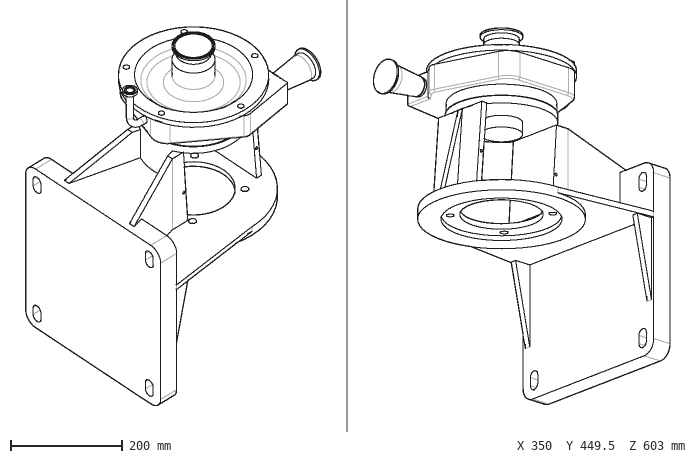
import cadquery as cq
import math


plate_width = 350.0
plate_height = 369.5
plate_thickness = 40.0
plate_back = -250.0
plate_front = plate_back + plate_thickness
plate_corner_radius = 26.0
slot_width = 20.0
slot_height = 35.5
slot_edge_distance_x = 29.5
slot_edge_distance_z = 35.0

table_top = 270.0
table_thickness = 11.0
table_disc_thickness = 20.0
table_radius = 151.0
table_bore_radius = 75.0
table_recess_radius = 108.5
table_hole_count = 4
table_hole_circle_radius = 92.0
table_hole_diameter = 14.0
brace_top_y = -176.0
brace_bottom_z = 102.5
brace_face_x = 169.0

sheet = 12.0
lantern_top = 435.5
lantern_half_width = 58.0
lantern_radius = 101.5
front_inner_y_bottom = -70.0
front_inner_y_top = -81.0
rear_inner_y_bottom = 101.5
rear_inner_y_top = 88.0
rear_rib_end_y = 143.5
side_rib_bend_y = -108.5
side_rib_end_x = 90.5
side_rib_end_y = -235.0
side_rib_slope = (side_rib_end_x - lantern_half_width) / (side_rib_bend_y - side_rib_end_y)
side_rib_foot_y = -90.5
side_rib_foot_x = side_rib_end_x - sheet - side_rib_slope * (side_rib_foot_y - side_rib_end_y)
pin_hole_diameter = 5.0
pin_hole_depth = 12.0
pin_hole_z = 340.0
pin_hole_edge_distance = 5.5

collar_top = 450.5
neck_ring_radius = 99.5
casing_bottom = 472.0
cover_bottom = 524.0
cover_top = 535.0
cover_radius = 135.0
shaft_end_radius = 38.0
shaft_end_z = 413.0

corner_count = 5
corner_step = 360 / corner_count
corner_radius = 33.0
corner_center_radius = 100.0
casing_edge_fillet = 4.0

outlet_face_x = 124.0
outlet_face_start_x = 69.5
outlet_face_y = 115.0
outlet_corner_radius = 18.0

cover_hole_circle_radius = 122.5
cover_hole_diameter = 11.5
dish_rim_radius = 106.0
dish_wall_foot_radius = 94.5
dish_floor_radius = 84.0
dish_depth = 18.0
dish_wall_foot_height = 6.0
inlet_fillet_radius = 15.5

inlet_radius = 38.5
inlet_shoulder_z = 570.5
inlet_neck_z = 585.5
inlet_neck_radius = 32.0
inlet_top = 603.0
ferrule_rim = 3.5
ferrule_taper = 3.5
seal_groove_depth = 1.0
inlet_groove_inner_radius = 34.0
inlet_groove_outer_radius = 36.0

outlet_x = 90.5
outlet_z = 499.0
outlet_end_y = 199.5
outlet_ferrule_radius = 32.0
outlet_radius = 26.0
outlet_root_radius = 18.5
outlet_groove_radius = 17.5
outlet_groove_width = 5.5
outlet_cone_start_y = 182.0

drain_radius = 6.5
drain_z = 500.5
drain_elbow_start_y = -131.5
drain_bend_radius = 27.0
drain_top = 590.5
drain_ferrule_radius = 13.0
drain_ferrule_rim = 5.5
drain_ferrule_taper = 2.0
drain_groove_inner_radius = 7.0
drain_groove_outer_radius = 9.5


def polar(radius, angle):
    """Point in the XY plane at a radius and an angle in degrees."""
    return radius * math.cos(math.radians(angle)), radius * math.sin(math.radians(angle))


def disc(radius, bottom, top):
    return cq.Workplane("XY").workplane(offset=bottom).circle(radius).extrude(top - bottom)


def slab_yz(points, x_min, x_max):
    """Prism along X over an outline of (y, z) points."""
    return cq.Workplane("YZ").workplane(offset=x_min).polyline(points).close().extrude(x_max - x_min)


def make_mounting_plate():
    plate = (
        cq.Workplane("XY")
        .box(plate_width, plate_thickness, plate_height, centered=(True, False, False))
        .translate((0, plate_back, 0))
        .edges("|Y")
        .fillet(plate_corner_radius)
    )
    slot_x = plate_width / 2 - slot_edge_distance_x
    slot_z = plate_height / 2 - slot_edge_distance_z
    slots = (
        cq.Workplane("XZ", origin=(0, plate_front, plate_height / 2))
        .rect(2 * slot_x, 2 * slot_z, forConstruction=True)
        .vertices()
        .slot2D(slot_height, slot_width, 90)
        .extrude(plate_thickness)
    )
    return plate.cut(slots)


def make_table():
    half_width = plate_width / 2
    table = (
        cq.Workplane("XY")
        .workplane(offset=table_top - table_thickness)
        .moveTo(-half_width, plate_front)
        .lineTo(half_width, plate_front)
        .lineTo(table_radius, 0)
        .threePointArc((0, table_radius), (-table_radius, 0))
        .close()
        .extrude(table_thickness)
    )
    disc_bottom = table_top - table_disc_thickness
    table = table.union(disc(table_radius, disc_bottom, table_top))
    holes = (
        cq.Workplane("XY")
        .workplane(offset=disc_bottom)
        .polarArray(table_hole_circle_radius, 45, 360, table_hole_count)
        .circle(table_hole_diameter / 2)
        .extrude(table_disc_thickness)
    )
    bore = disc(table_bore_radius, disc_bottom, table_top)
    recess = disc(table_recess_radius, disc_bottom, table_top - table_thickness)
    return table.cut(bore).cut(recess).cut(holes)


def make_braces():
    """Two triangular braces between the underside of the table and the plate."""
    underside = table_top - table_thickness
    outline = [(brace_top_y, underside), (plate_front, underside), (plate_front, brace_bottom_z)]
    left = slab_yz(outline, -brace_face_x, sheet - brace_face_x)
    return left.union(left.mirror("YZ"))


def make_front_wall():
    """Wall with a leaning inner face and an outer face flush with the collar."""
    block = slab_yz(
        [
            (front_inner_y_bottom, table_top),
            (front_inner_y_top, lantern_top),
            (-lantern_radius, lantern_top),
            (-lantern_radius, table_top),
        ],
        -lantern_half_width,
        lantern_half_width,
    )
    return block.intersect(disc(lantern_radius, table_top, lantern_top))


def make_side_ribs():
    """Ribs that run from the lantern sides, bend outward and end on the plate."""
    plan = [
        (-lantern_half_width, front_inner_y_bottom),
        (-lantern_half_width, side_rib_bend_y),
        (-side_rib_end_x, side_rib_end_y),
        (sheet - side_rib_end_x, side_rib_end_y),
        (-side_rib_foot_x, side_rib_foot_y),
    ]
    left = (
        cq.Workplane("XY")
        .workplane(offset=table_top)
        .polyline(plan)
        .close()
        .extrude(lantern_top - table_top)
    )
    side_outline = slab_yz(
        [
            (front_inner_y_bottom, table_top),
            (front_inner_y_top, lantern_top),
            (side_rib_bend_y, lantern_top),
            (side_rib_end_y, plate_height),
            (side_rib_end_y, table_top),
        ],
        -side_rib_end_x,
        0,
    )
    left = left.intersect(side_outline)
    return left.union(left.mirror("YZ"))


def make_shelf():
    """Horizontal sheet between the side ribs, level with the top of the plate."""
    plate_x = side_rib_end_x - sheet
    plan = [
        (-side_rib_foot_x, side_rib_foot_y),
        (-plate_x, side_rib_end_y),
        (plate_x, side_rib_end_y),
        (side_rib_foot_x, side_rib_foot_y),
    ]
    return cq.Workplane("XY").workplane(offset=plate_height).polyline(plan).close().extrude(-sheet)


def make_rear_wall():
    """Leaning flat wall, stiffened by one triangular rib in the middle."""
    wall = slab_yz(
        [
            (rear_inner_y_bottom, table_top),
            (rear_inner_y_top, lantern_top),
            (rear_inner_y_top + sheet, lantern_top),
            (rear_inner_y_bottom + sheet, table_top),
        ],
        -lantern_half_width,
        lantern_half_width,
    )
    rib = slab_yz(
        [
            (rear_inner_y_bottom, table_top),
            (rear_inner_y_top + sheet, lantern_top),
            (rear_rib_end_y, table_top),
        ],
        -sheet / 2,
        sheet / 2,
    )
    return wall.union(rib)


def make_pin_holes():
    """Small blind holes in the side faces of the lantern walls."""
    height_share = (pin_hole_z - table_top) / (lantern_top - table_top)
    front_edge = front_inner_y_bottom + height_share * (front_inner_y_top - front_inner_y_bottom)
    rear_edge = rear_inner_y_bottom + height_share * (rear_inner_y_top - rear_inner_y_bottom)
    left = (
        cq.Workplane("YZ")
        .workplane(offset=-lantern_half_width)
        .pushPoints([
            (front_edge - pin_hole_edge_distance, pin_hole_z),
            (rear_edge + pin_hole_edge_distance, pin_hole_z),
        ])
        .circle(pin_hole_diameter / 2)
        .extrude(pin_hole_depth)
    )
    return left.union(left.mirror("YZ"))


def make_casing():
    """Pentagon with a corner along +X, pulled out to the outlet face beyond one side."""
    apex_radius = corner_center_radius + corner_radius / math.cos(math.pi / corner_count)
    corners = [polar(apex_radius, corner_step * index) for index in range(corner_count)]
    outlet_face = [(outlet_face_x, outlet_face_y), (outlet_face_start_x, outlet_face_y)]
    block = (
        cq.Workplane("XY")
        .workplane(offset=casing_bottom)
        .polyline(corners[:1] + outlet_face + corners[1:])
        .close()
        .extrude(cover_bottom - casing_bottom)
    )
    plain_corners = block.edges("|Z").edges("<X or <Y")
    block = plain_corners.fillet(corner_radius)
    outlet_corners = block.edges("|Z").edges(">X or >Y")
    block = outlet_corners.fillet(outlet_corner_radius)
    return block.faces("<Z").edges().fillet(casing_edge_fillet)


def make_drive_stack():
    collar = disc(lantern_radius, lantern_top, collar_top)
    neck_ring = disc(neck_ring_radius, collar_top, casing_bottom)
    shaft_end = disc(shaft_end_radius, shaft_end_z, lantern_top)
    return collar.union(neck_ring).union(shaft_end)


def make_dish():
    """Ring-shaped hollow in the cover around the foot of the inlet pipe."""
    floor = cover_top - dish_depth
    fillet_middle = (
        inlet_radius + inlet_fillet_radius * (1 - math.sqrt(0.5)),
        floor + inlet_fillet_radius * (1 - math.sqrt(0.5)),
    )
    return (
        cq.Workplane("XZ")
        .moveTo(dish_rim_radius, cover_top)
        .lineTo(inlet_radius, cover_top)
        .lineTo(inlet_radius, floor + inlet_fillet_radius)
        .threePointArc(fillet_middle, (inlet_radius + inlet_fillet_radius, floor))
        .lineTo(dish_floor_radius, floor)
        .tangentArcPoint((dish_wall_foot_radius, floor + dish_wall_foot_height), relative=False)
        .close()
        .revolve(360, (0, 0, 0), (0, 1, 0))
    )


def make_cover_holes():
    return (
        cq.Workplane("XY")
        .workplane(offset=cover_bottom)
        .polarArray(cover_hole_circle_radius, 0, 360, corner_count)
        .circle(cover_hole_diameter / 2)
        .extrude(cover_top - cover_bottom)
    )


def seal_groove(inner_radius, outer_radius, top):
    """Ring cutter for the seal groove in an upward-facing ferrule."""
    bottom = top - seal_groove_depth
    return disc(outer_radius, bottom, top).cut(disc(inner_radius, bottom, top))


def make_inlet():
    rim_bottom = inlet_top - ferrule_rim
    pipe = (
        cq.Workplane("XZ")
        .moveTo(0, cover_bottom)
        .lineTo(inlet_radius, cover_bottom)
        .lineTo(inlet_radius, inlet_shoulder_z)
        .lineTo(inlet_neck_radius, inlet_neck_z)
        .lineTo(inlet_neck_radius, rim_bottom - ferrule_taper)
        .lineTo(inlet_radius, rim_bottom)
        .lineTo(inlet_radius, inlet_top)
        .lineTo(0, inlet_top)
        .close()
        .revolve(360, (0, 0, 0), (0, 1, 0))
    )
    return pipe.cut(seal_groove(inlet_groove_inner_radius, inlet_groove_outer_radius, inlet_top))


def make_outlet():
    rim_start = outlet_end_y - ferrule_rim
    groove_end = outlet_face_y + outlet_groove_width
    profile = [
        (0, outlet_face_y),
        (outlet_groove_radius, outlet_face_y),
        (outlet_groove_radius, groove_end),
        (outlet_root_radius, groove_end),
        (outlet_radius, outlet_cone_start_y),
        (outlet_radius, rim_start - ferrule_taper),
        (outlet_ferrule_radius, rim_start),
        (outlet_ferrule_radius, outlet_end_y),
        (0, outlet_end_y),
    ]
    return (
        cq.Workplane("XY", origin=(outlet_x, 0, outlet_z))
        .polyline(profile)
        .close()
        .revolve(360, (0, 0, 0), (0, 1, 0))
    )


def make_drain():
    pipe_y = drain_elbow_start_y - drain_bend_radius
    elbow_top = drain_z + drain_bend_radius
    elbow_middle = (
        drain_elbow_start_y - drain_bend_radius * math.sqrt(0.5),
        elbow_top - drain_bend_radius * math.sqrt(0.5),
    )
    path_start = -corner_center_radius
    path = (
        cq.Workplane("YZ")
        .moveTo(path_start, drain_z)
        .lineTo(drain_elbow_start_y, drain_z)
        .threePointArc(elbow_middle, (pipe_y, elbow_top))
        .lineTo(pipe_y, drain_top)
    )
    pipe = cq.Workplane("XZ", origin=(0, path_start, drain_z)).circle(drain_radius).sweep(path)
    rim_bottom = drain_top - drain_ferrule_rim
    ferrule = (
        cq.Workplane("XZ", origin=(0, pipe_y, 0))
        .polyline([
            (0, rim_bottom - drain_ferrule_taper),
            (drain_radius, rim_bottom - drain_ferrule_taper),
            (drain_ferrule_radius, rim_bottom),
            (drain_ferrule_radius, drain_top),
            (0, drain_top),
        ])
        .close()
        .revolve(360, (0, 0, 0), (0, 1, 0))
    )
    groove = seal_groove(drain_groove_inner_radius, drain_groove_outer_radius, drain_top)
    return pipe.union(ferrule).cut(groove.translate((0, pipe_y, 0)))


bracket = make_mounting_plate().union(make_table()).union(make_braces())
lantern = make_front_wall().union(make_side_ribs()).union(make_shelf()).union(make_rear_wall())
lantern = lantern.cut(make_pin_holes())

pump = make_drive_stack().union(make_casing()).union(disc(cover_radius, cover_bottom, cover_top))
pump = pump.cut(make_dish()).cut(make_cover_holes())
pump = pump.union(make_inlet()).union(make_outlet()).union(make_drain())

result = bracket.union(lantern).union(pump)